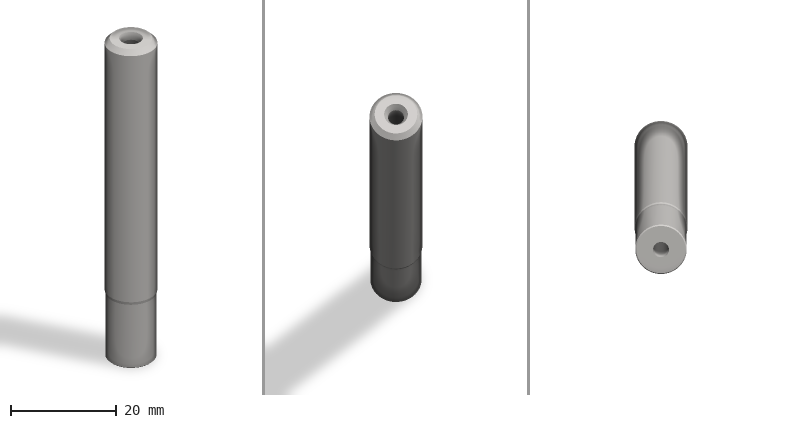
import cadquery as cq
import math

length = 70.0
body_diameter = 10.0
top_chamfer = 1.0

shank_diameter = 9.7
shank_top = 14.1
body_bottom = 14.7
bottom_chamfer = 0.2

hole_diameter = 3.0
countersink_diameter = 4.5
countersink_angle = 60.0

body_radius = body_diameter / 2
shank_radius = shank_diameter / 2


def make_pin():
    """Revolve the outer half profile about Z."""
    profile = [
        (0, 0),
        (shank_radius - bottom_chamfer, 0),
        (shank_radius, bottom_chamfer),
        (shank_radius, shank_top),
        (body_radius, body_bottom),
        (body_radius, length - top_chamfer),
        (body_radius - top_chamfer, length),
        (0, length),
    ]
    return cq.Workplane("XZ").polyline(profile).close().revolve(360, (0, 0), (0, 1))


def make_bore():
    """Revolve the through hole and its countersink as one cutter."""
    hole_radius = hole_diameter / 2
    countersink_radius = countersink_diameter / 2
    half_angle = math.radians(countersink_angle / 2)
    countersink_depth = (countersink_radius - hole_radius) / math.tan(half_angle)
    profile = [
        (0, 0),
        (hole_radius, 0),
        (hole_radius, length - countersink_depth),
        (countersink_radius, length),
        (0, length),
    ]
    return cq.Workplane("XZ").polyline(profile).close().revolve(360, (0, 0), (0, 1))


result = make_pin().cut(make_bore())